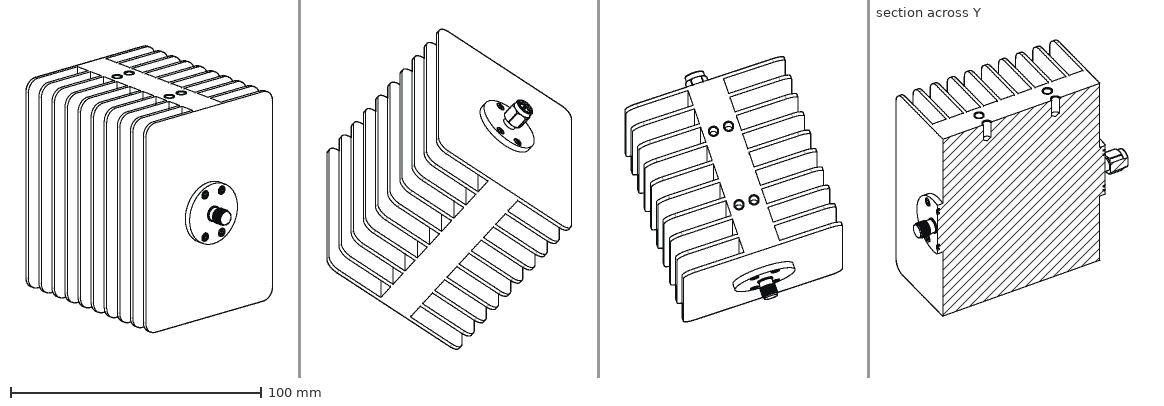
import cadquery as cq
import math

body_x_min = -34.9
body_length = 73.0
body_x_max = body_x_min + body_length
body_x_mid = (body_x_min + body_x_max) / 2
body_depth = 67.3
body_height = 88.9
core_depth = 15.0
fin_count = 10
fin_thickness = 1.5
fin_pitch = (body_length - fin_thickness) / (fin_count - 1)
fin_corner_radius = 5.0

top_hole_diameter = 3.3
top_hole_depth = 7.7
counterbore_diameter = 4.1
counterbore_depth = 0.3
top_hole_spacing_x = 31.8
top_hole_spacing_y = 6.4
drill_point_angle = 118

flange_diameter = 25.4
flange_thickness = 2.6
screw_spacing_y = 8.8
screw_spacing_z = 17.9
screw_recess_diameter = 3.5
screw_recess_depth = 1.0
screw_head_diameter = 2.9
screw_head_height = 0.8
screw_socket_across_flats = 1.5

connector_x_min = -48.1
neck_diameter = 5.6
nut_ring_diameter = 7.8
nut_ring_length = 2.2
nut_ring_chamfer = 0.3
hex_across_flats = 8.0
hex_corner_diameter = 9.05
hex_length = 6.2
hex_chamfer = 0.5
plug_bore_diameter = 5.6
plug_mouth_diameter = 6.4
plug_bore_depth = 1.0
plug_core_diameter = 4.1
plug_core_length = 0.2
pin_hole_diameter = 1.2
pin_hole_depth = 1.0
pin_diameter = 0.94

connector_x_max = 48.1
collar_diameter = 6.4
collar_length = 0.6
collar_chamfer = 0.3
thread_diameter = 6.4
thread_root_diameter = 5.6
thread_x_min = 43.5
thread_pitch = 0.7
thread_turns = 6
thread_crest_width = 0.2
thread_root_width = 0.2
lead_in_length = 1.2


def x_cylinder(diameter, x_start, x_end):
    """Cylinder on the X axis between two X positions."""
    return cq.Workplane("YZ", origin=(x_start, 0, 0)).circle(diameter / 2).extrude(x_end - x_start)


def x_revolve(outline):
    """Solid of revolution about X from (x, radius) points."""
    return cq.Workplane("XY").polyline(outline).close().revolve(360, (0, 0, 0), (1, 0, 0))


def heat_sink():
    core = cq.Workplane("XY").box(body_length, core_depth, body_height)
    sink = core.translate((body_x_mid, 0, 0))
    for i in range(fin_count):
        fin = (
            cq.Workplane("YZ", origin=(body_x_min + i * fin_pitch, 0, 0))
            .rect(body_depth, body_height)
            .extrude(fin_thickness)
            .edges("|X")
            .fillet(fin_corner_radius)
        )
        sink = sink.union(fin)
    return sink


def top_holes():
    radius = top_hole_diameter / 2
    point_length = radius / math.tan(math.radians(drill_point_angle / 2))
    drill = (
        cq.Workplane("XZ")
        .polyline([
            (0, 0),
            (counterbore_diameter / 2, 0),
            (counterbore_diameter / 2, -counterbore_depth),
            (radius, -counterbore_depth),
            (radius, -top_hole_depth),
            (0, -top_hole_depth - point_length),
        ])
        .close()
        .revolve(360, (0, 0, 0), (0, 1, 0))
    )
    return (
        cq.Workplane("XY", origin=(body_x_mid, 0, body_height / 2))
        .rarray(top_hole_spacing_x, top_hole_spacing_y, 2, 2)
        .eachpoint(lambda place: drill.val().moved(place), combine=False)
    )


def flange(outer_x, inward):
    """Flange with four recessed socket screws; inward is the X direction towards the body."""
    disc = x_cylinder(flange_diameter, outer_x, outer_x + inward * flange_thickness)
    recess_floor_x = outer_x + inward * screw_recess_depth

    def at_screws(x):
        return cq.Workplane("YZ", origin=(x, 0, 0)).rarray(screw_spacing_y, screw_spacing_z, 2, 2)

    recesses = at_screws(outer_x).circle(screw_recess_diameter / 2).extrude(inward * screw_recess_depth)
    socket_diameter = screw_socket_across_flats / math.cos(math.pi / 6)
    heads = (
        at_screws(recess_floor_x)
        .circle(screw_head_diameter / 2)
        .polygon(6, socket_diameter)
        .extrude(-inward * screw_head_height)
    )
    return disc.cut(recesses).union(heads)


def plug_connector(flange_x):
    hex_x_min = connector_x_min + nut_ring_length
    hex_x_max = hex_x_min + hex_length
    hex_across_corners = hex_across_flats / math.cos(math.pi / 6)
    corner_radius = hex_corner_diameter / 2
    chamfered_radius = corner_radius - hex_chamfer
    bore_floor_x = connector_x_min + plug_bore_depth

    ring = x_cylinder(nut_ring_diameter, connector_x_min, hex_x_min)
    ring = ring.faces("<X").chamfer(nut_ring_chamfer)
    corner_trim = x_revolve([
        (hex_x_min, 0),
        (hex_x_min, chamfered_radius),
        (hex_x_min + hex_chamfer, corner_radius),
        (hex_x_max - hex_chamfer, corner_radius),
        (hex_x_max, chamfered_radius),
        (hex_x_max, 0),
    ])
    hexagon = (
        cq.Workplane("YZ", origin=(hex_x_min, 0, 0))
        .polygon(6, hex_across_corners)
        .extrude(hex_length)
        .intersect(corner_trim)
    )
    mouth_chamfer = (plug_mouth_diameter - plug_bore_diameter) / 2
    bore = x_revolve([
        (connector_x_min, 0),
        (connector_x_min, plug_mouth_diameter / 2),
        (connector_x_min + mouth_chamfer, plug_bore_diameter / 2),
        (bore_floor_x, plug_bore_diameter / 2),
        (bore_floor_x, 0),
    ])
    nut = ring.union(hexagon).cut(bore)
    neck = x_cylinder(neck_diameter, hex_x_max, flange_x)
    plug_core = x_cylinder(plug_core_diameter, bore_floor_x, bore_floor_x - plug_core_length)

    core_face_x = bore_floor_x - plug_core_length
    pin_gap = x_cylinder(pin_hole_diameter, core_face_x, core_face_x + pin_hole_depth)
    pin_gap = pin_gap.cut(x_cylinder(pin_diameter, core_face_x, core_face_x + pin_hole_depth))
    return nut.union(neck).union(plug_core).cut(pin_gap)


def socket_connector(flange_x):
    root_radius = thread_root_diameter / 2
    crest_radius = thread_diameter / 2
    flank_length = (thread_pitch - thread_crest_width - thread_root_width) / 2

    collar = x_cylinder(collar_diameter, flange_x, flange_x + collar_length)
    collar = collar.faces(">X").chamfer(collar_chamfer)
    neck = x_cylinder(neck_diameter, flange_x, thread_x_min)
    outline = [(thread_x_min, 0), (thread_x_min, root_radius)]
    for i in range(thread_turns):
        crest_start = thread_x_min + i * thread_pitch + flank_length
        crest_end = crest_start + thread_crest_width
        outline += [
            (crest_start, crest_radius),
            (crest_end, crest_radius),
            (crest_end + flank_length, root_radius),
            (crest_end + flank_length + thread_root_width, root_radius),
        ]
    outline += [(connector_x_max, root_radius), (connector_x_max, 0)]
    lead_in_trim = x_revolve([
        (thread_x_min, 0),
        (thread_x_min, crest_radius),
        (connector_x_max - lead_in_length, crest_radius),
        (connector_x_max, root_radius),
        (connector_x_max, 0),
    ])
    thread = x_revolve(outline).intersect(lead_in_trim)
    return collar.union(neck).union(thread)


plug_flange_x = body_x_min - flange_thickness
socket_flange_x = body_x_max + flange_thickness

result = (
    heat_sink()
    .cut(top_holes())
    .union(flange(plug_flange_x, 1))
    .union(flange(socket_flange_x, -1))
    .union(plug_connector(plug_flange_x))
    .union(socket_connector(socket_flange_x))
)